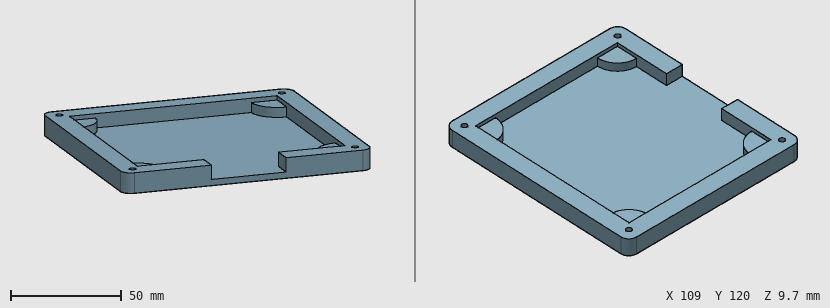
import cadquery as cq

width = 109.0
length = 120.0
height = 9.7
corner_radius = 5.0

wall = 10.0
floor_thickness = 3.0
opening_length = 36.0

pad_radius = 12.5
pad_drop = 2.0
hole_diameter = 3.1
hole_inset = 6.4

recess_width = width - 2 * wall
recess_length = length - 2 * wall
recess_depth = height - floor_thickness
pad_height = recess_depth - pad_drop


def make_tray():
    """Rounded plate with a rectangular recess, open through the +X wall."""
    plate = cq.Workplane("XY").box(width, length, height, centered=(True, True, False))
    plate = plate.edges("|Z").fillet(corner_radius)
    floor_plane = cq.Workplane("XY").workplane(offset=floor_thickness)
    recess = floor_plane.rect(recess_width, recess_length).extrude(recess_depth)
    opening = floor_plane.center(width / 4, 0).rect(width / 2, opening_length).extrude(recess_depth)
    return plate.cut(recess).cut(opening)


def make_corner_pads():
    """Quarter-round pads centred on the corners of the recess."""
    floor_plane = cq.Workplane("XY").workplane(offset=floor_thickness)
    discs = floor_plane.rect(recess_width, recess_length, forConstruction=True).vertices()
    discs = discs.circle(pad_radius).extrude(pad_height)
    recess = floor_plane.rect(recess_width, recess_length).extrude(recess_depth)
    return discs.intersect(recess)


def make_screw_holes():
    """Four through holes near the outer corners."""
    centres = cq.Workplane("XY").rect(
        width - 2 * hole_inset, length - 2 * hole_inset, forConstruction=True
    )
    return centres.vertices().circle(hole_diameter / 2).extrude(height)


result = make_tray().union(make_corner_pads()).cut(make_screw_holes())